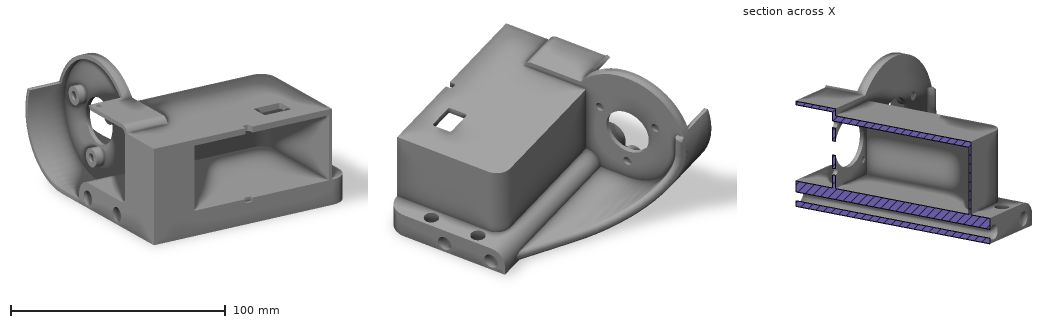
import cadquery as cq
import math


housing_radius = 32.0
right_x = 79.59
depth = 108.5
bottom_z = -housing_radius

wall = 2.0
tray_radius = housing_radius - wall
plate_front_y = 17.5
plate_back_y = 22.5
recess_floor_y = 20.4
tray_top_z = 17.4
tray_right_x = 54.4
tray_corner_radius = 2.6
tray_outer_corner_radius = tray_corner_radius + wall

opening_apex_z = 6.0
opening_start_angle = 30.3
opening_end_angle = 171.0
opening_reach = 2 * housing_radius

rail_left_x = 14.7
rail_round_radius = 7.6
rail_top_z = -19.4
flange_corner_radius = 10.0

box_left_x = 22.6
box_back_y = 98.0
box_top_z = 16.0
box_corner_radius = 7.5
box_roof = 3.0
box_side_wall = 1.6

gusset_wall = 5.0
gusset_inner_radius = housing_radius - gusset_wall
gusset_top_z = 9.6
gusset_edge_y = 74.2
gusset_tip_y = 22.6
gusset_edge_radius = 2.0
gusset_end_x = rail_left_x + 2 * gusset_edge_radius

shaft_hole_diameter = 23.0
boss_circle_radius = 17.4
boss_diameter = 9.2
boss_front_y = 16.0
boss_hole_diameter = 4.3
boss_angles = (30.0, 150.0, 270.0)

motor_x = 38.85
motor_hole_diameter = 24.0
motor_screw_spacing = 23.0
motor_screw_diameter = 3.0

fixing_diameter = 7.2
rail_hole_xs = (22.3, 47.4)
rail_hole_z = -27.0
flange_hole_xs = (32.4, 57.7)
flange_hole_y = 103.4

window_left_x = 60.2
window_front_y = 67.0
window_width = 10.0
window_length = 15.0
window_corner_radius = 1.0

notch_y = 52.45
notch_width = 3.7
notch_depth = 3.2
notch_corner_radius = 1.0
floor_notch_depth = 1.7
floor_notch_height = 2.0


def front_plane(y):
    """Sketch plane with local axes X and Z at the given Y; it extrudes toward +Y."""
    return cq.Workplane(cq.Plane(origin=(0, y, 0), xDir=(1, 0, 0), normal=(0, -1, 0)))


def block(x_min, x_max, y_min, y_max, z_min, z_max):
    """Axis-aligned box given by its limits."""
    size = (x_max - x_min, y_max - y_min, z_max - z_min)
    return cq.Workplane().box(*size, centered=False).translate((x_min, y_min, z_min))


def cylinder_y(x, z, diameter, y_min, y_max):
    """Cylinder along Y."""
    return front_plane(y_min).center(x, z).circle(diameter / 2).extrude(y_min - y_max)


def make_front_body():
    """Solid front part: round housing, tray block and the block at the right."""
    body = cylinder_y(0, 0, 2 * housing_radius, 0, plate_back_y)
    body = body.union(block(0, right_x, 0, plate_back_y, bottom_z, box_top_z))
    tray_block = block(0, tray_right_x + wall, 0, plate_back_y, 0, tray_top_z + wall)
    tray_block = tray_block.edges("|Y and >X and >Z").fillet(tray_outer_corner_radius)
    return body.union(tray_block)


def make_rail(y_min, y_max):
    """Bottom block with a large round along its upper left edge."""
    rail = block(rail_left_x, right_x, y_min, y_max, bottom_z, rail_top_z)
    return rail.edges("|Y and <X and >Z").fillet(rail_round_radius)


def make_tray_recess():
    """Space removed in front of the plate."""
    recess = cylinder_y(0, 0, 2 * tray_radius, 0, recess_floor_y)
    recess = recess.union(block(0, rail_left_x, 0, recess_floor_y, -tray_radius, 0))
    pocket = block(0, tray_right_x, 0, recess_floor_y, -tray_radius, tray_top_z)
    pocket = pocket.cut(make_rail(0, recess_floor_y))
    pocket = pocket.edges("|Y and >X").fillet(tray_corner_radius)
    return recess.cut(make_rail(0, recess_floor_y)).union(pocket)


def make_wall_opening():
    """Wedge that removes the upper part of the round tray wall."""
    start = math.radians(opening_start_angle)
    end = math.radians(opening_end_angle)
    start_x = opening_reach * math.cos(start)
    start_z = opening_apex_z + opening_reach * math.sin(start)
    end_x = opening_reach * math.cos(end)
    end_z = opening_apex_z + opening_reach * math.sin(end)
    wedge = (
        front_plane(0)
        .moveTo(0, opening_apex_z)
        .lineTo(start_x, start_z)
        .lineTo(start_x, opening_reach)
        .lineTo(end_x, opening_reach)
        .lineTo(end_x, end_z)
        .close()
        .extrude(-plate_front_y)
    )
    tray_roof = block(0, right_x, 0, plate_front_y, 0, tray_top_z + wall)
    return wedge.cut(tray_roof)


def point_on_circle(radius, angle):
    """X and Z of a point on a circle about the housing axis, angle in degrees."""
    return radius * math.cos(math.radians(angle)), radius * math.sin(math.radians(angle))


def make_gusset():
    """Curved wall from the plate to the rail, cut by a sloping plane with rounded edges."""
    top_angle = 180 - math.degrees(math.asin(gusset_top_z / housing_radius))
    bottom_angle = 270
    left_angle = 180
    outer_middle = point_on_circle(housing_radius, (top_angle + bottom_angle) / 2)
    inner_middle = point_on_circle(gusset_inner_radius, (left_angle + bottom_angle) / 2)
    profile = (
        front_plane(plate_front_y)
        .moveTo(*point_on_circle(housing_radius, top_angle))
        .threePointArc(outer_middle, (0, bottom_z))
        .lineTo(gusset_end_x, bottom_z)
        .lineTo(gusset_end_x, -gusset_inner_radius)
        .lineTo(0, -gusset_inner_radius)
        .threePointArc(inner_middle, (-gusset_inner_radius, 0))
        .lineTo(-gusset_inner_radius, gusset_top_z)
        .close()
        .extrude(plate_front_y - depth)
    )
    slope = (gusset_edge_y - gusset_tip_y) / housing_radius
    plan = (
        cq.Workplane("XY", origin=(0, 0, bottom_z))
        .moveTo(-housing_radius, plate_front_y)
        .lineTo(-housing_radius, gusset_tip_y)
        .lineTo(gusset_end_x, gusset_edge_y + slope * gusset_end_x)
        .lineTo(gusset_end_x, plate_front_y)
        .close()
        .extrude(2 * housing_radius)
    )
    gusset = profile.intersect(plan)
    uphill = cq.Vector(-slope, 1, 0)
    sloping_face = gusset.faces(cq.selectors.DirectionMinMaxSelector(uphill))
    return sloping_face.edges().fillet(gusset_edge_radius)


def make_box():
    """Electronics box outside, with the rounded rear left corner."""
    box = block(box_left_x, right_x, plate_front_y, box_back_y, bottom_z, box_top_z)
    return box.edges("|Z and <X and >Y").fillet(box_corner_radius)


def make_box_cavity():
    """Inside of the box, open at the right."""
    cavity = block(
        box_left_x + box_side_wall, right_x, plate_back_y, box_back_y - box_side_wall,
        rail_top_z, box_top_z - box_roof,
    )
    return cavity.edges("|Z and <X and >Y").fillet(box_corner_radius - box_side_wall)


def add_bosses(part):
    """Three drilled screw bosses around the shaft hole."""
    for angle in boss_angles:
        x, z = point_on_circle(boss_circle_radius, angle)
        boss = cylinder_y(x, z, boss_diameter, boss_front_y, plate_back_y)
        hole = cylinder_y(x, z, boss_hole_diameter, boss_front_y, plate_back_y)
        part = part.union(boss).cut(hole)
    return part


def cut_plate_holes(part):
    """Shaft hole, motor hole and the four motor screw holes through the plate."""
    part = part.cut(cylinder_y(0, 0, shaft_hole_diameter, 0, plate_back_y))
    part = part.cut(cylinder_y(motor_x, 0, motor_hole_diameter, 0, plate_back_y))
    for x_side in (-1, 1):
        for z_side in (-1, 1):
            x = motor_x + x_side * motor_screw_spacing / 2
            z = z_side * motor_screw_spacing / 2
            part = part.cut(cylinder_y(x, z, motor_screw_diameter, 0, plate_back_y))
    return part


def cut_fixing_holes(part):
    """Two holes along the whole rail and two vertical holes through the flange."""
    for x in rail_hole_xs:
        part = part.cut(cylinder_y(x, rail_hole_z, fixing_diameter, 0, depth))
    flange_holes = (
        cq.Workplane("XY", origin=(0, 0, bottom_z))
        .pushPoints([(x, flange_hole_y) for x in flange_hole_xs])
        .circle(fixing_diameter / 2)
        .extrude(rail_top_z - bottom_z)
    )
    return part.cut(flange_holes)


def make_window():
    """Rounded rectangular window through the box roof."""
    window = block(
        window_left_x, window_left_x + window_width,
        window_front_y, window_front_y + window_length,
        box_top_z - box_roof, box_top_z,
    )
    return window.edges("|Z").fillet(window_corner_radius)


def make_latch_notches():
    """Notch through the roof edge and a shallow one in the floor below it."""
    front_y = notch_y - notch_width / 2
    back_y = notch_y + notch_width / 2
    roof_notch = block(
        right_x - notch_depth, right_x, front_y, back_y, box_top_z - box_roof, box_top_z
    )
    roof_notch = roof_notch.edges("|Z and <X").fillet(notch_corner_radius)
    floor_notch = block(
        right_x - floor_notch_depth, right_x, front_y, back_y,
        rail_top_z - floor_notch_height, rail_top_z,
    )
    return roof_notch.union(floor_notch)


rail = make_rail(0, depth).edges("|Z and >X and >Y").fillet(flange_corner_radius)
result = make_front_body().union(make_box()).union(rail).union(make_gusset())

result = result.cut(make_tray_recess()).cut(make_wall_opening()).cut(make_box_cavity())

result = add_bosses(result)
result = cut_plate_holes(result)
result = cut_fixing_holes(result)
result = result.cut(make_window()).cut(make_latch_notches())